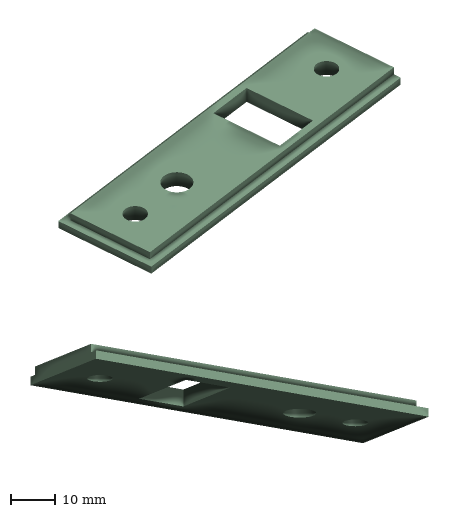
import cadquery as cq

plate_width = 27.0
plate_length = 90.0
total_height = 4.0
base_height = total_height / 2

panel_inset = 2.0
panel_width = plate_width - 2 * panel_inset
panel_length = plate_length - panel_inset

screw_hole_diameter = 5.8
screw_hole_positions = (11.0, 80.0)
large_hole_diameter = 7.5
large_hole_position = 26.0

window_width = 19.3
window_length = 12.0
window_position = 57.15


def block(width, front, length, bottom, height):
    """Box centred on X, starting at the given Y and Z."""
    return (
        cq.Workplane("XY")
        .box(width, length, height, centered=(True, False, False))
        .translate((0, front, bottom))
    )


def through_hole(diameter, position):
    """Cylinder through the full height, on the centreline."""
    return cq.Workplane("XY").center(0, position).circle(diameter / 2).extrude(total_height)


base = block(plate_width, 0, plate_length, 0, base_height)
panel = block(panel_width, panel_inset, panel_length, base_height, total_height - base_height)
result = base.union(panel)

for position in screw_hole_positions:
    result = result.cut(through_hole(screw_hole_diameter, position))
result = result.cut(through_hole(large_hole_diameter, large_hole_position))

window_front = window_position - window_length / 2
result = result.cut(block(window_width, window_front, window_length, 0, total_height))